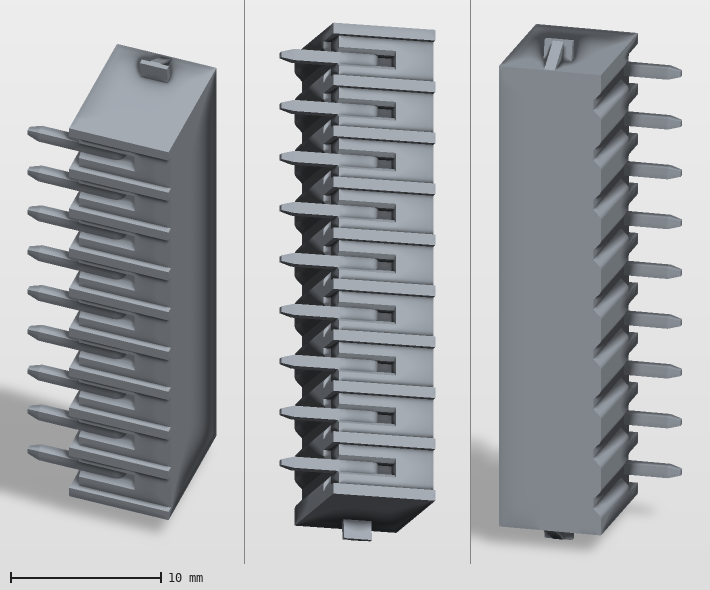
import cadquery as cq
import math

housing_width = 7.07
housing_depth = 9.2
housing_height = 32.35
housing_top = housing_height / 2

pin_count = 9
pin_pitch = 3.5
pin_levels = [(i - (pin_count - 1) / 2) * pin_pitch for i in range(pin_count)]

rib_thickness = 0.75
relief_top = housing_top - rib_thickness
front_relief = 0.45
side_relief = 0.52
side_relief_depth = 2.35

flank_angle = math.radians(45)
groove_floor_half = 0.35
groove_corner_half = groove_floor_half + side_relief / math.tan(flank_angle)
groove_round_radius = 0.45
groove_round_run = groove_round_radius * math.tan(flank_angle / 2)

pin_size = 0.77
pin_front = 0.8
pin_back = pin_front + pin_size
pin_reach = 3.32
pin_elbow = 3.5
bend_radius = 0.65
tip_length = 0.85
tip_size = 0.4

slot_end = 4.48
slot_flare = 0.262
slot_flare_depth = 0.35

overall_height = 35.0
latch_height = (overall_height - housing_height) / 2
latch_center = 3.6
latch_bar_width = 1.92
latch_web_width = 0.75
web_start = 0.18
web_crest = 2.3
bar_back_base = 2.15
bar_back_top = 2.38
bar_front_base = 2.62
bar_front_top = 2.75
bar_neck_height = 0.25


def block(x_min, x_max, y_min, y_max, z_min, z_max):
    size = (x_max - x_min, y_max - y_min, z_max - z_min)
    return cq.Workplane("XY").box(*size, centered=False).translate((x_min, y_min, z_min))


def ribbed_block():
    """Block set back on its front and front pin-side corner, with ribs at the ends and between pins."""
    body = block(0, housing_width, 0, housing_depth, -housing_top, housing_top)
    body = body.cut(block(0, housing_width, 0, front_relief, -relief_top, relief_top))
    body = body.cut(block(0, side_relief, 0, side_relief_depth, -relief_top, relief_top))
    for level in pin_levels[:-1]:
        rib_bottom = level + (pin_pitch - rib_thickness) / 2
        rib_top = rib_bottom + rib_thickness
        body = body.union(block(0, housing_width, 0, side_relief_depth, rib_bottom, rib_top))
    return body


def side_groove(level):
    """Groove with sloping flanks and rounded mouth edges, open at the back face."""
    flank_depth = groove_round_run * math.sin(flank_angle)
    flank_half = groove_corner_half - groove_round_run * math.cos(flank_angle)
    mouth_half = groove_corner_half + groove_round_run
    groove = (
        cq.Workplane("XZ")
        .moveTo(0, mouth_half)
        .radiusArc((flank_depth, flank_half), -groove_round_radius)
        .lineTo(side_relief, groove_floor_half)
        .lineTo(side_relief, -groove_floor_half)
        .lineTo(flank_depth, -flank_half)
        .radiusArc((0, -mouth_half), -groove_round_radius)
        .close()
        .extrude(-housing_depth)
    )
    return groove.translate((0, 0, level))


def pin_slot(level):
    """Channel as wide as the pin, with a flared mouth at the front."""
    half_pin = pin_size / 2
    half_mouth = half_pin + slot_flare
    flare_end = front_relief + slot_flare_depth
    outline = [
        (front_relief, half_mouth),
        (flare_end, half_pin),
        (pin_back, half_pin),
        (pin_back, -half_pin),
        (flare_end, -half_pin),
        (front_relief, -half_mouth),
    ]
    slot = cq.Workplane("YZ").polyline(outline).close().extrude(slot_end)
    return slot.translate((0, 0, level))


def pin_hole(level):
    """Square hole that carries the rear leg of the pin to the back face."""
    half_pin = pin_size / 2
    x_min = pin_elbow - pin_size
    return block(x_min, pin_elbow, pin_back, housing_depth, level - half_pin, level + half_pin)


def latch():
    """Snap latch on the upper end: a cross bar backed by a sloping web."""
    base = housing_top
    top = base + latch_height
    back = housing_depth
    bar_outline = [
        (back - bar_back_base, base),
        (back - bar_back_top, top),
        (back - bar_front_top, top),
        (back - bar_front_base, base + bar_neck_height),
        (back - bar_front_base, base),
    ]
    web_outline = [
        (back - web_start, base),
        (back - web_crest, top),
        (back - bar_back_top, top),
        (back - bar_back_base, base),
    ]
    side = cq.Workplane("YZ", origin=(latch_center, 0, 0))
    bar = side.polyline(bar_outline).close().extrude(latch_bar_width / 2, both=True)
    web = side.polyline(web_outline).close().extrude(latch_web_width / 2, both=True)
    return bar.union(web)


def make_housing():
    body = ribbed_block()
    for level in pin_levels:
        body = body.cut(side_groove(level))
        body = body.cut(pin_slot(level))
        body = body.cut(pin_hole(level))
    upper_latch = latch()
    return body.union(upper_latch).union(upper_latch.mirror("XY"))


def make_pin(level):
    """Square right-angle pin with a tapered tip, a rounded elbow and a leg ending at the back face."""
    tip_base = tip_length - pin_reach
    half_pin = pin_size / 2
    arm = block(tip_base, pin_elbow, pin_front, pin_back, -half_pin, half_pin)
    leg = block(pin_elbow - pin_size, pin_elbow, pin_front, housing_depth, -half_pin, half_pin)
    bent = arm.union(leg).edges("|Z and >X and <Y").fillet(bend_radius)
    tip = (
        cq.Workplane("YZ", origin=(tip_base, pin_front + half_pin, 0))
        .rect(pin_size, pin_size)
        .workplane(offset=-tip_length)
        .rect(tip_size, tip_size)
        .loft(ruled=True)
    )
    return bent.union(tip).translate((0, 0, level))


housing = make_housing()
pins = [make_pin(level) for level in pin_levels]

result = cq.Compound.makeCompound([housing.val(), *[pin.val() for pin in pins]])